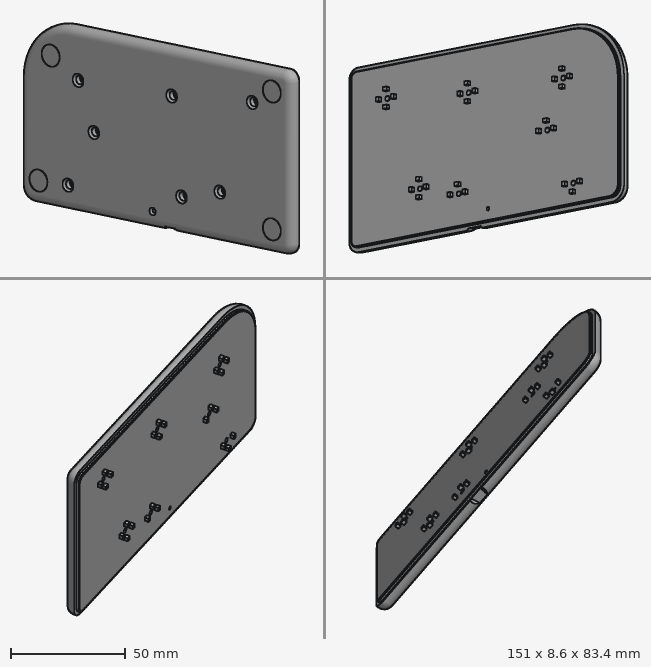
import cadquery as cq
import math

LENGTH = 151.0
HEIGHT = 83.4
LARGE_CORNER = 27.6
MEDIUM_CORNER = 7.0
SMALL_CORNER = 5.0

EDGE_ROUND = 4.1
RIM_DEPTH = 1.2
LIP_DEPTH = 1.5
PIN_DEPTH = 1.8
BODY_DEPTH = EDGE_ROUND + RIM_DEPTH
BACK_FACE = BODY_DEPTH + LIP_DEPTH
LIP_INSET = 2.0
LIP_CHAMFER = 0.5

SCREW_CENTERS = {
    "upper left": (32.3, 59.8),
    "middle left": (41.1, 37.8),
    "lower left": (26.7, 11.5),
    "upper middle": (84.3, 61.6),
    "lower middle": (89.7, 16.9),
    "lower right": (111.0, 22.7),
    "upper right": (129.0, 66.3),
}
SCREW_BORE = 2.3
SCREW_SEAT = 4.0
SCREW_MOUTH = 6.0
SCREW_CONE_DEPTH = 1.0
SCREW_SEAT_DEPTH = 3.8

PIN_OFFSET = 4.1
PIN_THICKNESS = 1.7
PIN_WIDTH = 2.0
RIGHT, UP, LEFT, DOWN = 0, 90, 180, 270
ALL_SIDES = (RIGHT, UP, LEFT, DOWN)
PARTIAL_PIN_SETS = {
    "middle left": (RIGHT, UP, LEFT),
    "lower left": (RIGHT, LEFT, DOWN),
    "lower middle": (RIGHT, UP, LEFT),
}

RESET_CENTER = (73.7, 7.5)
RESET_BORE = 1.5
RESET_MOUTH = 3.5
RESET_CONE_DEPTH = 1.0

FOOT_CENTERS = [(17.0, 68.5), (10.3, 10.7), (139.9, 10.7), (139.9, 73.1)]
FOOT_DIAMETER = 10.0
FOOT_DEPTH = 0.2

NOTCH_CENTER = 82.3
NOTCH_WIDTH = 8.2
NOTCH_FRONT_HEIGHT = 1.7
NOTCH_BACK_HEIGHT = 0.9


def plane_at(depth):
    """XZ sketch plane at the given Y; a negative extrusion runs toward +Y."""
    return cq.Workplane("XZ", origin=(0, depth, 0))


def plate(inset, front, depth):
    """Rounded plate with its outline moved inward by inset, running from front toward +Y."""
    diagonal = math.sqrt(0.5)
    x0, x1 = inset, LENGTH - inset
    z0, z1 = inset, HEIGHT - inset
    large, medium, small = (r - inset for r in (LARGE_CORNER, MEDIUM_CORNER, SMALL_CORNER))

    def bulge(radius):
        return radius * (1 - diagonal)

    outline = (
        plane_at(front)
        .moveTo(x0 + medium, z0)
        .lineTo(x1 - small, z0)
        .threePointArc((x1 - bulge(small), z0 + bulge(small)), (x1, z0 + small))
        .lineTo(x1, z1 - small)
        .threePointArc((x1 - bulge(small), z1 - bulge(small)), (x1 - small, z1))
        .lineTo(x0 + large, z1)
        .threePointArc((x0 + bulge(large), z1 - bulge(large)), (x0, z1 - large))
        .lineTo(x0, z0 + medium)
        .threePointArc((x0 + bulge(medium), z0 + bulge(medium)), (x0 + medium, z0))
        .close()
    )
    return outline.extrude(-depth)


def cylinder(center, diameter, front, depth):
    return plane_at(front).center(*center).circle(diameter / 2).extrude(-depth)


def cone(center, mouth, seat, depth):
    """Tapered opening in the front face, narrowing from mouth to seat."""
    x, z = center
    return cq.Workplane(
        cq.Solid.makeCone(mouth / 2, seat / 2, depth, cq.Vector(x, 0, z), cq.Vector(0, 1, 0))
    )


def screw_hole(center):
    """Through bore with a flat-bottomed head seat and a tapered mouth."""
    mouth = cone(center, SCREW_MOUTH, SCREW_SEAT, SCREW_CONE_DEPTH)
    seat = cylinder(center, SCREW_SEAT, 0, SCREW_SEAT_DEPTH)
    return mouth.union(seat).union(cylinder(center, SCREW_BORE, 0, BACK_FACE))


def reset_hole():
    mouth = cone(RESET_CENTER, RESET_MOUTH, RESET_BORE, RESET_CONE_DEPTH)
    return mouth.union(cylinder(RESET_CENTER, RESET_BORE, 0, BACK_FACE))


def locating_pins(center, sides):
    """One pin on the back face toward each of the given sides of a screw hole."""
    pins = cq.Workplane("XZ")
    for angle in sides:
        pin = (
            plane_at(BACK_FACE)
            .center(*center)
            .transformed(rotate=(0, 0, angle))
            .center(PIN_OFFSET, 0)
            .rect(PIN_THICKNESS, PIN_WIDTH)
            .extrude(-PIN_DEPTH)
        )
        pins = pins.add(pin)
    return pins.combine()


def notch_corners(height):
    """Trapezoid with 45-degree sides, standing on the bottom edge."""
    half = NOTCH_WIDTH / 2
    offsets = [(-half, 0), (height - half, height), (half - height, height), (half, 0)]
    return [(NOTCH_CENTER + dx, z) for dx, z in offsets]


def bottom_notch():
    """Notch whose ceiling slopes down toward the back."""
    return (
        plane_at(0)
        .polyline(notch_corners(NOTCH_FRONT_HEIGHT))
        .close()
        .workplane(offset=-BODY_DEPTH)
        .polyline(notch_corners(NOTCH_BACK_HEIGHT))
        .close()
        .loft(ruled=True)
    )


body = plate(0, 0, BODY_DEPTH).faces("<Y").edges().fillet(EDGE_ROUND)
lip = plate(LIP_INSET, BODY_DEPTH, LIP_DEPTH).faces(">Y").edges().chamfer(LIP_CHAMFER)
result = body.union(lip)

for name, center in SCREW_CENTERS.items():
    result = result.cut(screw_hole(center))
    result = result.union(locating_pins(center, PARTIAL_PIN_SETS.get(name, ALL_SIDES)))

result = result.cut(reset_hole())

for center in FOOT_CENTERS:
    result = result.cut(cylinder(center, FOOT_DIAMETER, 0, FOOT_DEPTH))

result = result.cut(bottom_notch())